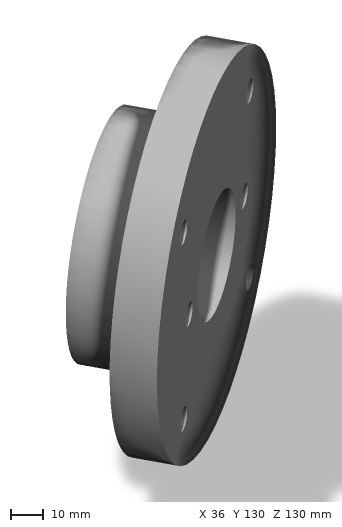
import cadquery as cq

flange_diameter = 130.0
total_length = 36.0
flange_thickness = 15.0
hub_diameter = 80.0
bore_diameter = 41.5
hole_diameter = 8.0
flange_hole_spacing = 72.0
hub_hole_spacing = 60.0

hub_length = total_length - flange_thickness


def cylinder_along_x(diameter, start, length):
    return cq.Workplane("YZ").workplane(offset=start).circle(diameter / 2).extrude(length)


hub = cylinder_along_x(hub_diameter, 0, total_length)
flange = cylinder_along_x(flange_diameter, hub_length, flange_thickness)
bore = cylinder_along_x(bore_diameter, 0, total_length)

flange_holes = (
    cq.Workplane("YZ")
    .rect(flange_hole_spacing, flange_hole_spacing, forConstruction=True)
    .vertices()
    .circle(hole_diameter / 2)
    .extrude(total_length)
)
hub_holes = (
    cq.Workplane("YZ")
    .rarray(hub_hole_spacing, 1.3, 2, 1)
    .circle(hole_diameter / 2)
    .extrude(total_length)
)

result = hub.union(flange).cut(bore).cut(flange_holes).cut(hub_holes)